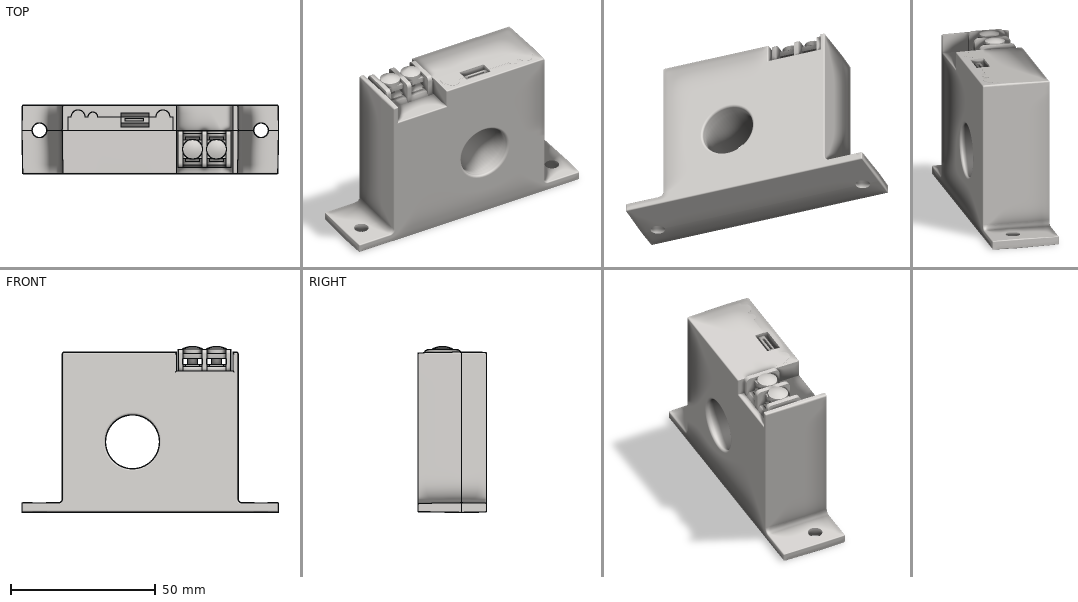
import cadquery as cq


flange_length = 89.0
flange_height = 3.4
body_width = 61.0
body_height = 55.6
front_depth = 15.1
rear_depth = 8.7
draft_angle = 1.0
root_radius = 1.4
edge_radius = 0.4
top_corner_radius = 0.7

bore_x = -6.15
bore_z = 24.5
bore_radius = 9.3
bore_edge_radius = 0.8

hole_spacing = 76.8
hole_radius = 2.5

recess_left = 9.15
recess_right = 28.65
recess_floor = 49.1

carrier_left = -28.5
carrier_right = 7.85
carrier_depth = 4.65
carrier_bottom = 34.5
boss_sizes = [(-25.0, 2.4), (-19.9, 1.65), (4.4, 2.4)]

window_left = -10.15
window_right = -0.45
window_front = 1.15
window_back = 6.0
window_floor_radius = 12.1
strip_front = 2.5
strip_drop = 1.3
slot_left = -8.8
slot_right = -2.35
slot_front = 3.25
slot_back = 4.1
slot_depth = 5.0

block_x = 18.8
block_front = -12.95
block_back = -0.2
wall_thickness = 1.65
bay_width = 6.65
wall_top = 56.5
wall_corner_radius = 1.55
base_top = 50.6
base_setback = 0.85
block_y = (block_front + block_back) / 2
bay_pitch = bay_width + wall_thickness
block_width = 2 * bay_pitch + wall_thickness

contact_top = 51.35
contact_tongue_width = 5.0
contact_tongue_length = 8.65

clamp_length = 6.55
clamp_bottom = 53.3
clamp_top = 55.1
shank_radius = 1.8
head_radius = 3.45
head_rim_top = 56.75
head_top = 57.54

bay_centres = [block_x - bay_pitch / 2, block_x + bay_pitch / 2]


def box(x_range, y_range, z_range):
    size = [high - low for low, high in (x_range, y_range, z_range)]
    return cq.Workplane("XY").box(*size, centered=False).translate((x_range[0], y_range[0], z_range[0]))


def cylinder(x, y, radius, bottom, top):
    return cq.Workplane("XY", origin=(x, y, bottom)).circle(radius).extrude(top - bottom)


def bore_cylinder(radius, y_front, y_back):
    """Cylinder about the bore axis."""
    plane = cq.Workplane("XZ", origin=(bore_x, y_front, bore_z))
    return plane.circle(radius).extrude(y_front - y_back)


def half_housing(depth):
    """Drafted half on the -Y side of the parting plane, with its outer edges rounded."""
    half_body = body_width / 2
    half_flange = flange_length / 2
    right_side = [
        (half_flange, 0),
        (half_flange, flange_height),
        (half_body, flange_height),
        (half_body, body_height),
    ]
    left_side = [(-x, z) for x, z in reversed(right_side)]
    corners = right_side + left_side
    outline = cq.Sketch().polygon(corners + corners[:1])
    outline = outline.vertices("(>>Y[-2]) and (not (>X or <X))").fillet(root_radius)
    outline = outline.reset().vertices(">X or <X").fillet(edge_radius)
    outline = outline.reset().vertices(">Y").fillet(top_corner_radius)
    half = cq.Workplane("XZ").placeSketch(outline).extrude(depth, taper=draft_angle)
    recess = box((recess_left, recess_right), (-depth, 0), (recess_floor, body_height + 1))
    half = half.cut(recess).faces("<Y").edges().fillet(edge_radius)
    half = half.cut(bore_cylinder(bore_radius, -depth, 0))
    half = half.faces("<Y").edges("%CIRCLE").fillet(bore_edge_radius)
    for x in (-hole_spacing / 2, hole_spacing / 2):
        half = half.cut(cylinder(x, 0, hole_radius, 0, flange_height))
    return half


def window():
    """Opening from the top face down to the cylinder about the bore."""
    y_range = (window_front, window_back)
    opening = box((window_left, window_right), y_range, (bore_z, body_height))
    return opening.cut(bore_cylinder(window_floor_radius, *y_range))


def carrier_envelope():
    """Block with round bosses along its back."""
    z_range = (carrier_bottom, body_height)
    envelope = box((carrier_left, carrier_right), (0, carrier_depth), z_range)
    for x, radius in boss_sizes:
        envelope = envelope.union(cylinder(x, carrier_depth, radius, *z_range))
    return envelope


def slotted_strip():
    """Strip that stands in the window, with a narrow slot in its top."""
    top = body_height - strip_drop
    strip = box((window_left, window_right), (strip_front, carrier_depth), (carrier_bottom, top))
    return strip.cut(box((slot_left, slot_right), (slot_front, slot_back), (top - slot_depth, top)))


def screw(x):
    profile = (
        cq.Workplane("YZ", origin=(x, block_y, 0))
        .moveTo(0, contact_top)
        .lineTo(shank_radius, contact_top)
        .lineTo(shank_radius, clamp_top)
        .lineTo(head_radius, clamp_top)
        .lineTo(head_radius, head_rim_top)
    )
    rise = head_top - head_rim_top
    dome_radius = (head_radius**2 + rise**2) / (2 * rise)
    profile = profile.radiusArc((0, head_top), -dome_radius).close()
    return profile.revolve(360, (0, 0, 0), (0, 1, 0))


def clamp(x):
    half_length = clamp_length / 2
    plate = box(
        (x - bay_width / 2, x + bay_width / 2),
        (block_y - half_length, block_y + half_length),
        (clamp_bottom, clamp_top),
    )
    return plate.cut(cylinder(x, block_y, shank_radius, clamp_bottom, clamp_top))


def contact(x):
    """Cross-shaped plate: a full-width middle with a narrower tongue at each end."""
    height = contact_top - base_top
    plane = cq.Workplane("XY", origin=(x, block_y, base_top))
    middle = plane.rect(bay_width, clamp_length).extrude(height)
    return middle.union(plane.rect(contact_tongue_width, contact_tongue_length).extrude(height))


def terminal_block():
    """Sloped base carrying three rounded walls, with a contact plate in each bay."""
    left = block_x - block_width / 2
    block = (
        cq.Workplane("YZ", origin=(left, 0, 0))
        .moveTo(block_front, recess_floor)
        .lineTo(block_back, recess_floor)
        .lineTo(block_back - base_setback, base_top)
        .lineTo(block_front + base_setback, base_top)
        .close()
        .extrude(block_width)
    )
    for index in range(len(bay_centres) + 1):
        wall_left = left + index * bay_pitch
        wall = box(
            (wall_left, wall_left + wall_thickness),
            (block_front, block_back),
            (recess_floor, wall_top),
        )
        block = block.union(wall.faces(">Z").edges("|X").fillet(wall_corner_radius))
    for x in bay_centres:
        block = block.union(contact(x))
        block = block.cut(cylinder(x, block_y, head_radius, clamp_top, wall_top))
    return block


front_housing = half_housing(front_depth)
rear_half = half_housing(rear_depth).mirror("XZ")
rear_housing = rear_half.cut(carrier_envelope()).cut(window())
carrier = carrier_envelope().cut(window()).union(slotted_strip())
block = terminal_block()
clamps = [clamp(x) for x in bay_centres]
screws = [screw(x) for x in bay_centres]

bodies = [front_housing, rear_housing, carrier, block, *clamps, *screws]
result = cq.Compound.makeCompound([body.val() for body in bodies])